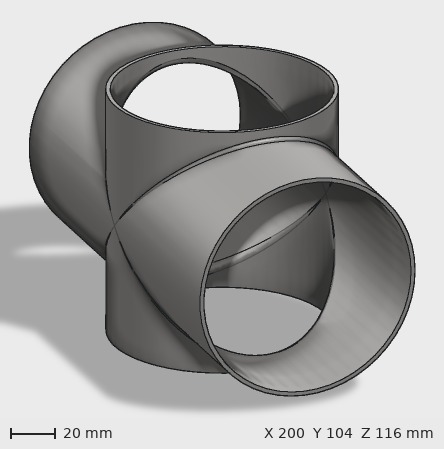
import math

import cadquery as cq

run_length = 200.0
branch_length = 116.0
outer_diameter = 104.0
bore_diameter = 100.0
outer_crotch_radius = 2.0

rounding_sink = 0.02
rounding_root_depth = 1.0
rounding_end_angle = 84.0
section_count = 15

wall = (outer_diameter - bore_diameter) / 2
inner_crotch_radius = outer_crotch_radius + wall


def rounding_section(cylinder_radius, crotch_radius, angle):
    """Concave-sided section parallel to XZ, at an angle around the cylinder from the XZ plane."""
    y = cylinder_radius * math.sin(math.radians(angle))
    taper = math.cos(math.radians(angle))
    arc_centre = cylinder_radius + crotch_radius
    low = cylinder_radius - rounding_sink
    middle = arc_centre - (crotch_radius + rounding_sink) * math.sqrt(0.5)
    root = cylinder_radius - rounding_root_depth

    def point(x, z):
        return cq.Vector(taper * x, y, taper * z)

    run_end = point(arc_centre, low)
    branch_end = point(low, arc_centre)
    buried_corner = point(root, root)
    return cq.Wire.assembleEdges(
        [
            cq.Edge.makeThreePointArc(run_end, point(middle, middle), branch_end),
            cq.Edge.makeLine(branch_end, buried_corner),
            cq.Edge.makeLine(buried_corner, run_end),
        ]
    )


def crotch_rounding(cylinder_radius, crotch_radius):
    """Filler along the crease between the +X run and the +Z branch."""
    step = 2 * rounding_end_angle / (section_count - 1)
    angles = [-rounding_end_angle + i * step for i in range(section_count)]
    sections = [rounding_section(cylinder_radius, crotch_radius, angle) for angle in angles]
    return cq.Workplane(obj=cq.Solid.makeLoft(sections))


def rounded_cross(diameter, crotch_radius):
    """Equal solid cylinders along X and Z, with the four creases between them rounded."""
    radius = diameter / 2
    run = cq.Workplane("YZ").circle(radius).extrude(run_length / 2, both=True)
    branch = cq.Workplane("XY").circle(radius).extrude(branch_length / 2, both=True)
    cross = run.union(branch)
    rounding = crotch_rounding(radius, crotch_radius)
    for quarter in range(4):
        cross = cross.union(rounding.rotate((0, 0, 0), (0, 1, 0), 90 * quarter))
    return cross


skin = rounded_cross(outer_diameter, outer_crotch_radius)
bores = rounded_cross(bore_diameter, inner_crotch_radius)
result = skin.cut(bores)